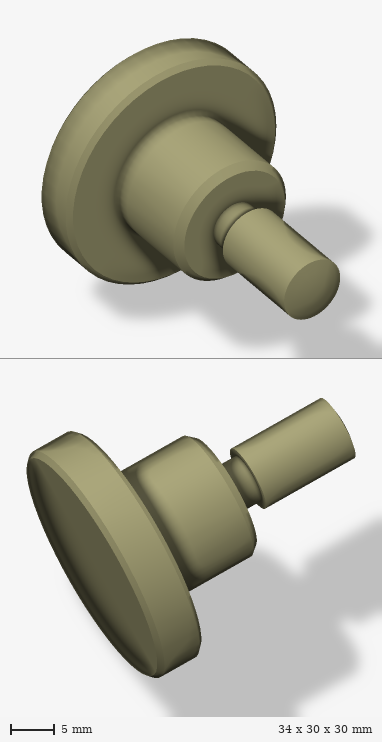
import cadquery as cq

total_length = 34.0

head_diameter = 30.0
head_thickness = 6.0
head_chamfer = 0.6

hub_diameter = 16.0
hub_end = 18.0
hub_chamfer_length = 1.0
hub_chamfer_depth = 0.85
hub_root_radius = 0.5

neck_diameter = 6.0
neck_end = 21.2
pin_diameter = 8.0
dome_height = 0.65

head_radius = head_diameter / 2
hub_radius = hub_diameter / 2
neck_radius = neck_diameter / 2
pin_radius = pin_diameter / 2


def cylinder_along_x(start, end, radius):
    return cq.Workplane("YZ", origin=(start, 0, 0)).circle(radius).extrude(end - start)


def make_head():
    head = cylinder_along_x(0, head_thickness, head_radius)
    return head.edges().chamfer(head_chamfer)


def make_hub():
    """Half section of the hub, with a concave root fillet and a chamfered end."""
    root_end = head_thickness + hub_root_radius
    root_center_radius = hub_radius + hub_root_radius
    diagonal = hub_root_radius * 0.5**0.5
    section = (
        cq.Workplane("XY")
        .moveTo(head_thickness, 0)
        .lineTo(head_thickness, root_center_radius)
        .threePointArc(
            (root_end - diagonal, root_center_radius - diagonal),
            (root_end, hub_radius),
        )
        .lineTo(hub_end - hub_chamfer_length, hub_radius)
        .lineTo(hub_end, hub_radius - hub_chamfer_depth)
        .lineTo(hub_end, 0)
        .close()
    )
    return section.revolve(360, (0, 0, 0), (1, 0, 0))


def make_pin():
    """Half section of the pin, closed by a spherical cap at its free end."""
    dome_radius = (pin_radius**2 + dome_height**2) / (2 * dome_height)
    midway_drop = dome_radius - (dome_radius**2 - pin_radius**2 / 4) ** 0.5
    section = (
        cq.Workplane("XY")
        .moveTo(neck_end, 0)
        .lineTo(neck_end, pin_radius)
        .lineTo(total_length - dome_height, pin_radius)
        .threePointArc((total_length - midway_drop, pin_radius / 2), (total_length, 0))
        .close()
    )
    return section.revolve(360, (0, 0, 0), (1, 0, 0))


neck = cylinder_along_x(hub_end, neck_end, neck_radius)
result = make_head().union(make_hub()).union(neck).union(make_pin())